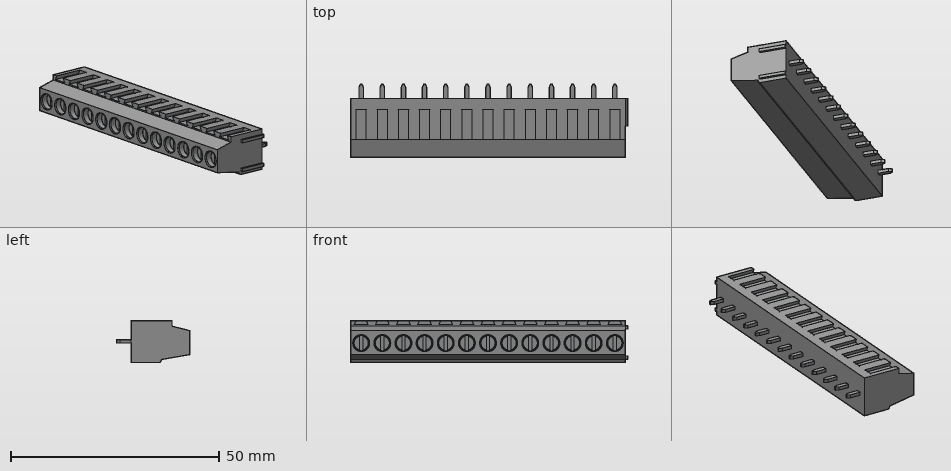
import cadquery as cq

overall_length = 66.6
poles = 13
body_length = 66.0
body_depth = 14.1
body_height = 10.1
pitch = body_length / poles

step_y = 4.25
step_drop = 1.3
screw_face_top = 7.7
screw_face_bottom = 1.9
underside_step_y = 6.85
underside_step_height = 0.7
underside_radius = 0.65

pocket_top_width = 2.4
pocket_floor_width = 3.3
pocket_depth = 1.0
pocket_back_wall = 2.6

screw_z = 4.7
screw_diameter = 3.7
screw_recess = 1.6
rim_chamfer_width = 0.165
rim_chamfer_depth = 0.3
head_chamfer = 0.165
slot_width = 0.8
slot_depth = 0.45

pin_width = 1.1
pin_thickness = 0.8
pin_length = 3.45
pin_z = 5.1
pin_tip_width = 0.4
pin_tip_length = 0.8

rib_projection = overall_length - body_length
rib_length = 6.65
rib_height = 0.7
rib_spacing = 7.2
rib_middle_z = 4.85
ridge_height = 0.1
ridge_offset = 0.4

pole_xs = [(index + 0.5) * pitch for index in range(poles)]


def housing():
    profile = (
        cq.Workplane("YZ")
        .moveTo(0, screw_face_bottom)
        .lineTo(0, screw_face_top)
        .lineTo(step_y, body_height - step_drop)
        .lineTo(step_y, body_height)
        .lineTo(body_depth, body_height)
        .lineTo(body_depth, 0)
        .lineTo(underside_step_y + underside_radius, 0)
        .radiusArc((underside_step_y, underside_radius), underside_radius)
        .lineTo(underside_step_y, underside_step_height)
        .close()
    )
    return profile.extrude(body_length)


def pocket(x):
    floor_z = body_height - pocket_depth
    half_top = pocket_top_width / 2
    half_floor = pocket_floor_width / 2
    outline = [
        (x - half_floor, floor_z),
        (x + half_floor, floor_z),
        (x + half_top, body_height),
        (x - half_top, body_height),
    ]
    back_y = body_depth - pocket_back_wall
    return cq.Workplane("XZ", origin=(0, back_y, 0)).polyline(outline).close().extrude(back_y - step_y)


def screw_recess_cut(x):
    face = cq.Workplane("XZ", origin=(x, 0, screw_z))
    bore = face.circle(screw_diameter / 2).extrude(-screw_recess - head_chamfer)
    rim = (
        face.circle(screw_diameter / 2 + rim_chamfer_width)
        .workplane(offset=-rim_chamfer_depth)
        .circle(screw_diameter / 2)
        .loft()
    )
    head_face = face.workplane(offset=-screw_recess)
    head_edge = (
        head_face.circle(screw_diameter / 2 - head_chamfer)
        .workplane(offset=-head_chamfer)
        .circle(screw_diameter / 2)
        .loft()
    )
    slot_blade = head_face.rect(slot_width, screw_diameter).extrude(-slot_depth)
    slot = slot_blade.intersect(head_face.circle(screw_diameter / 2).extrude(-slot_depth))
    return bore.cut(head_edge).union(rim).union(slot)


def pin(x):
    half_width = pin_width / 2
    half_tip = pin_tip_width / 2
    tip_y = body_depth + pin_length
    shoulder_y = tip_y - pin_tip_length
    outline = [
        (x - half_width, body_depth),
        (x + half_width, body_depth),
        (x + half_width, shoulder_y),
        (x + half_tip, tip_y),
        (x - half_tip, tip_y),
        (x - half_width, shoulder_y),
    ]
    bottom_z = pin_z - pin_thickness / 2
    return cq.Workplane("XY", origin=(0, 0, bottom_z)).polyline(outline).close().extrude(pin_thickness)


def coupling_rib(outward):
    """Rib on the upper half for outward = 1, mirrored to the lower half for outward = -1."""
    inner_z = rib_middle_z + outward * (rib_spacing - rib_height) / 2
    outer_z = inner_z + outward * rib_height
    ridge_z = outer_z + outward * ridge_height
    tip_x = body_length + rib_projection
    outline = [
        (body_length, inner_z),
        (tip_x, inner_z),
        (tip_x, outer_z),
        (body_length + ridge_offset, ridge_z),
        (body_length, outer_z),
    ]
    return cq.Workplane("XZ", origin=(0, body_depth, 0)).polyline(outline).close().extrude(rib_length)


result = housing()
for pole_x in pole_xs:
    result = result.cut(pocket(pole_x))
    result = result.cut(screw_recess_cut(pole_x))
    result = result.union(pin(pole_x))
for side in (1, -1):
    result = result.union(coupling_rib(side))